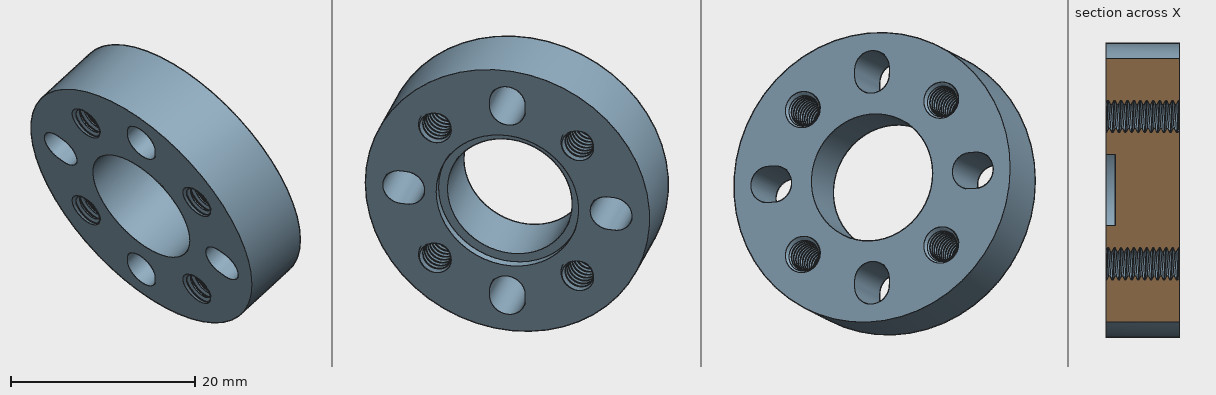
import cadquery as cq
import math

outer_diameter = 31.95
thickness = 8.0
front_y = -thickness / 2
back_y = thickness / 2

bore_diameter = 14.0
counterbore_diameter = 16.0
counterbore_depth = 1.0

slot_width = 4.0
slot_length = 4.7
slot_radius = 11.65
slot_count = 4

hole_spacing = 16.0
thread_major_diameter = 4.0
thread_pitch = 0.7
thread_height = thread_pitch * math.sqrt(3) / 2
thread_minor_diameter = thread_major_diameter - 2 * 5 / 8 * thread_height
groove_root_width = thread_pitch / 8
groove_mouth_width = thread_pitch * 3 / 4
countersink_diameter = thread_major_diameter
thread_start_angle = 270.0

tap_run_out = 2 * thread_pitch
turn_count = math.ceil((thickness + 2 * tap_run_out) / thread_pitch)


def cylinder_along_y(diameter, start_y, end_y):
    """Solid cylinder on the Y axis between two Y positions."""
    return cq.Workplane("XZ", origin=(0, start_y, 0)).circle(diameter / 2).extrude(start_y - end_y)


def make_ring():
    ring = cylinder_along_y(outer_diameter, front_y, back_y)
    ring = ring.cut(cylinder_along_y(bore_diameter, front_y, back_y))
    return ring.cut(cylinder_along_y(counterbore_diameter, back_y - counterbore_depth, back_y))


def make_slot():
    """Slot cutter on the +X side of the ring."""
    outline = cq.Workplane("XZ", origin=(slot_radius, front_y, 0)).slot2D(slot_length, slot_width)
    return outline.extrude(-thickness)


def make_helix(radius, start_z):
    """One right-handed turn about Z, starting in the XZ plane."""
    return cq.Wire.makeHelix(thread_pitch, thread_pitch, radius).translate(cq.Vector(0, 0, start_z))


def make_tap_end(turn_outline, base_z):
    """Faces closing one end of the tap: a helicoid in to the axis and a flat step one pitch high."""
    rim_radius, rim_z = turn_outline[0]
    axis_bottom = (0, base_z + rim_z)
    axis_top = (0, base_z + rim_z + thread_pitch)
    axis_edge = cq.Edge.makeLine(cq.Vector(0, 0, axis_bottom[1]), cq.Vector(0, 0, axis_top[1]))
    rim_edge = make_helix(rim_radius, axis_bottom[1]).Edges()[0]
    helicoid = cq.Face.makeRuledSurface(axis_edge, rim_edge)

    step_outline = [axis_bottom] + [(radius, base_z + z) for radius, z in turn_outline] + [axis_top]
    step_points = [cq.Vector(radius, 0, z) for radius, z in step_outline]
    step = cq.Face.makeFromWires(cq.Wire.makePolygon(step_points, close=True))
    return [helicoid, step]


def make_tap():
    """Solid filling a threaded hole, with its axis on Y and built turn by turn from helical faces."""
    minor_radius = thread_minor_diameter / 2
    major_radius = thread_major_diameter / 2
    turn_outline = [
        (minor_radius, -groove_mouth_width / 2),
        (major_radius, -groove_root_width / 2),
        (major_radius, groove_root_width / 2),
        (minor_radius, groove_mouth_width / 2),
        (minor_radius, thread_pitch - groove_mouth_width / 2),
    ]
    faces = []
    for turn in range(turn_count):
        base_z = turn * thread_pitch
        helices = [make_helix(radius, base_z + z) for radius, z in turn_outline]
        for lower, upper in zip(helices, helices[1:]):
            faces.append(cq.Face.makeRuledSurface(lower, upper))
    faces += make_tap_end(turn_outline, 0)
    faces += make_tap_end(turn_outline, turn_count * thread_pitch)

    tap = cq.Workplane(cq.Solid.makeSolid(cq.Shell.makeShell(faces)))
    tap = tap.rotate((0, 0, 0), (0, 0, 1), thread_start_angle)
    return tap.rotate((0, 0, 0), (1, 0, 0), -90).translate((0, front_y - tap_run_out, 0))


def make_countersink():
    """90-degree cone on the Y axis, wide end on the front face."""
    radius = countersink_diameter / 2
    return cq.Workplane(cq.Solid.makeCone(radius, 0, radius, cq.Vector(0, front_y, 0), cq.Vector(0, 1, 0)))


part = make_ring()

slot = make_slot()
for index in range(slot_count):
    part = part.cut(slot.rotate((0, 0, 0), (0, 1, 0), index * 360 / slot_count))

threaded_hole = make_tap().union(make_countersink())
for x_side in (-1, 1):
    for z_side in (-1, 1):
        hole_position = (x_side * hole_spacing / 2, 0, z_side * hole_spacing / 2)
        part = part.cut(threaded_hole.translate(hole_position))

result = part